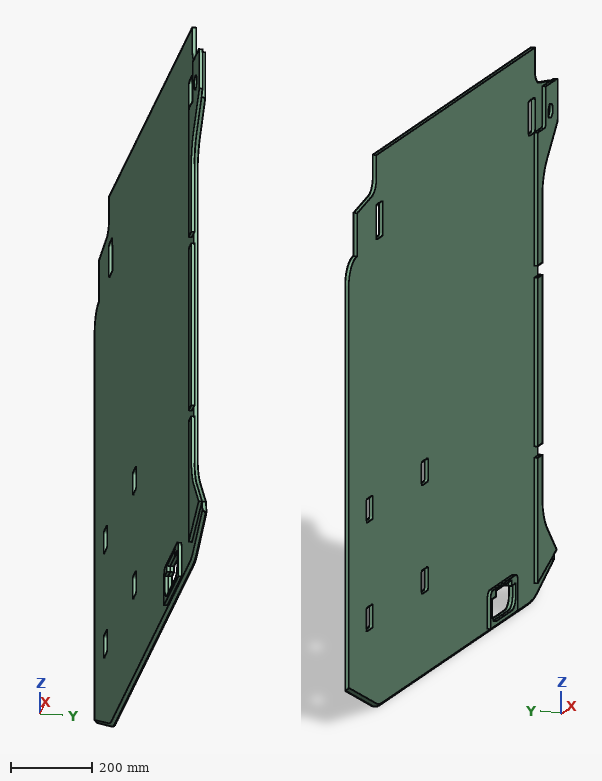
import cadquery as cq

WIDTH = 1526.0
HEIGHT = 1410.0
PAD_THICKNESS = 8.4
PLATE_THICKNESS = 9.9
SMALL_ROUND = 8.0

TOP_LEFT = 205.0
TOP_RIGHT = 1380.0
SHOULDER_HIGH = 1319.0
SHOULDER_LOW = 1295.0
SHOULDER_RADIUS = 40.0
SHOULDER_LEFT = 63.0
SHOULDER_RIGHT = 1510.0
LEFT_CORNER_RADIUS = 61.0
LEFT_TOP = 1186.0
PLATE_RIGHT = 1401.0
EAR_RADIUS = 122.0
BOTTOM_LEFT = 221.0
BOTTOM_RIGHT = 1372.0
LEFT_LOW = 95.0
TIP_LOW = 70.0
BOTTOM_RADIUS = 122.0
BEVEL = 8.0

PAD_LEFT = 1375.0
PAD_RIGHT = 1412.0
UPPER_PAD_BOTTOM = 856.0
MIDDLE_PAD_TOP = 825.0
MIDDLE_PAD_BOTTOM = 397.0
LOWER_PAD_TOP = 368.0
LOWER_PAD_CORNER = 49.0
EAR_PAD_LEFT = 1435.0
EAR_PAD_TOP = 1299.0
UPPER_EAR_LOW = 1192.0
LOWER_EAR = (1517.0, 102.0)
PAD_HOLE = (1471.0, 1229.0)
PAD_HOLE_DIAMETER = 35.0

UPPER_WINDOW = (47.0, 89.0)
UPPER_WINDOW_LEFTS = (TOP_LEFT, TOP_RIGHT - UPPER_WINDOW[0])
UPPER_WINDOW_BOTTOM = 1195.0
LOWER_WINDOW = (47.0, 60.0)
LOWER_WINDOW_LEFTS = (131.0, 540.0)
LOWER_WINDOW_BOTTOMS = (215.0, 491.0)
WINDOW_RADIUS = 6.0

FRAME_LEFT = 1027.0
FRAME_RIGHT = 1229.0
FRAME_BOTTOM = 14.0
FRAME_TOP = 108.0
FRAME_RADIUS = 17.0
HANDLE_LEFT = 1038.0
HANDLE_RIGHT = 1213.0
HANDLE_BOTTOM = 25.0
HANDLE_TOP = 102.0
HANDLE_STEP_WIDTH = 30.0
HANDLE_STEP_HEIGHT = 15.0
HANDLE_RADIUS = 30.0


def slab(outline, front, thickness):
    """Closed XZ outline extruded towards +Y from y = front."""
    return cq.Workplane("XZ", origin=(0, front, 0)).polyline(outline).close().extrude(-thickness)


def block(left, bottom, width, height, front, thickness):
    """Rectangular slab."""
    right = left + width
    top = bottom + height
    return slab([(left, bottom), (right, bottom), (right, top), (left, top)], front, thickness)


def round_corners(body, corners, radius):
    """Round the Y-parallel edges that stand at the given (x, z) corners."""
    middle = body.val().Center().y
    for x, z in corners:
        nearest = cq.selectors.NearestToPointSelector((x, middle, z))
        body = body.edges("|Y").edges(nearest).fillet(radius)
    return body


def upper_diagonal(x):
    """Point at x on the 45 degree edge of the upper ear."""
    return (x, UPPER_EAR_LOW - WIDTH + x)


def lower_diagonal(x):
    """Point at x on the 45 degree edge of the lower ear."""
    return (x, LOWER_EAR[1] + LOWER_EAR[0] - x)


def handle_opening():
    """Stepped opening through the frame and the plate, rounded at the bottom."""
    width = HANDLE_RIGHT - HANDLE_LEFT
    height = HANDLE_TOP - HANDLE_BOTTOM
    depth = PAD_THICKNESS + PLATE_THICKNESS
    wide = block(HANDLE_LEFT, HANDLE_BOTTOM, width, height - HANDLE_STEP_HEIGHT, 0, depth)
    wide = round_corners(wide, [(HANDLE_LEFT, HANDLE_BOTTOM), (HANDLE_RIGHT, HANDLE_BOTTOM)], HANDLE_RADIUS)
    narrow_left = HANDLE_LEFT + HANDLE_STEP_WIDTH
    narrow = block(narrow_left, HANDLE_BOTTOM, width - 2 * HANDLE_STEP_WIDTH, height, 0, depth)
    return wide.union(narrow)


def window(left, bottom, size):
    """Round-cornered cutter through the plate."""
    return block(left, bottom, *size, PAD_THICKNESS, PLATE_THICKNESS).edges("|Y").fillet(WINDOW_RADIUS)


def make_plate():
    top_corners = [(TOP_LEFT, SHOULDER_HIGH), (TOP_RIGHT, SHOULDER_HIGH)]
    left_corner = (0, LEFT_TOP)
    ear_corners = [upper_diagonal(PLATE_RIGHT), lower_diagonal(PLATE_RIGHT)]
    low_corners = [(WIDTH, TIP_LOW), (0, LEFT_LOW)]
    bottom_corners = [(BOTTOM_RIGHT, 0), (BOTTOM_LEFT, 0)]
    outline = [
        (TOP_LEFT, HEIGHT),
        (TOP_RIGHT, HEIGHT),
        top_corners[1],
        (SHOULDER_RIGHT, SHOULDER_LOW),
        upper_diagonal(SHOULDER_RIGHT),
        *ear_corners,
        LOWER_EAR,
        low_corners[0],
        *bottom_corners,
        low_corners[1],
        left_corner,
        (SHOULDER_LEFT, LEFT_TOP),
        (SHOULDER_LEFT, SHOULDER_LOW),
        top_corners[0],
    ]
    plate = slab(outline, PAD_THICKNESS, PLATE_THICKNESS)
    plate = round_corners(plate, top_corners, SHOULDER_RADIUS)
    plate = round_corners(plate, ear_corners, EAR_RADIUS)
    plate = round_corners(plate, bottom_corners, BOTTOM_RADIUS)
    plate = round_corners(plate, [left_corner], LEFT_CORNER_RADIUS)

    low_edges = cq.selectors.BoxSelector((0, 0, -BEVEL), (WIDTH, HEIGHT, TIP_LOW))
    plate = plate.faces("<Y").edges(low_edges).chamfer(BEVEL)
    plate = round_corners(plate, low_corners, SMALL_ROUND)

    for left in UPPER_WINDOW_LEFTS:
        plate = plate.cut(window(left, UPPER_WINDOW_BOTTOM, UPPER_WINDOW))
    for left in LOWER_WINDOW_LEFTS:
        for bottom in LOWER_WINDOW_BOTTOMS:
            plate = plate.cut(window(left, bottom, LOWER_WINDOW))
    return plate.cut(handle_opening())


def make_upper_pad():
    ear_corner = upper_diagonal(PAD_RIGHT)
    inner_corner = (EAR_PAD_LEFT, UPPER_WINDOW_BOTTOM)
    outer_corner = (WIDTH, EAR_PAD_TOP)
    outline = [
        (PAD_LEFT, UPPER_PAD_BOTTOM),
        (PAD_RIGHT, UPPER_PAD_BOTTOM),
        ear_corner,
        (WIDTH, UPPER_EAR_LOW),
        outer_corner,
        (EAR_PAD_LEFT, EAR_PAD_TOP),
        inner_corner,
        (PAD_LEFT, UPPER_WINDOW_BOTTOM),
    ]
    pad = slab(outline, 0, PAD_THICKNESS)
    pad = round_corners(pad, [ear_corner], EAR_RADIUS)
    pad = round_corners(pad, [inner_corner, outer_corner], SMALL_ROUND)
    hole = cq.Workplane("XZ").center(*PAD_HOLE).circle(PAD_HOLE_DIAMETER / 2).extrude(-PAD_THICKNESS)
    return pad.cut(hole)


def make_middle_pad():
    height = MIDDLE_PAD_TOP - MIDDLE_PAD_BOTTOM
    return block(PAD_LEFT, MIDDLE_PAD_BOTTOM, PAD_RIGHT - PAD_LEFT, height, 0, PAD_THICKNESS)


def make_lower_pad():
    ear_corner = lower_diagonal(PAD_RIGHT)
    outline = [
        (PAD_LEFT, LOWER_PAD_TOP),
        (PAD_RIGHT, LOWER_PAD_TOP),
        ear_corner,
        LOWER_EAR,
        (PAD_LEFT, LOWER_PAD_CORNER),
    ]
    return round_corners(slab(outline, 0, PAD_THICKNESS), [ear_corner], EAR_RADIUS)


def make_frame():
    width = FRAME_RIGHT - FRAME_LEFT
    frame = block(FRAME_LEFT, FRAME_BOTTOM, width, FRAME_TOP - FRAME_BOTTOM, 0, PAD_THICKNESS)
    frame = round_corners(frame, [(FRAME_LEFT, FRAME_TOP), (FRAME_RIGHT, FRAME_TOP)], FRAME_RADIUS)
    return frame.cut(handle_opening())


plate = make_plate()
upper_pad = make_upper_pad()
middle_pad = make_middle_pad()
lower_pad = make_lower_pad()
frame = make_frame()

result = cq.Compound.makeCompound(
    [plate.val(), upper_pad.val(), middle_pad.val(), lower_pad.val(), frame.val()]
)